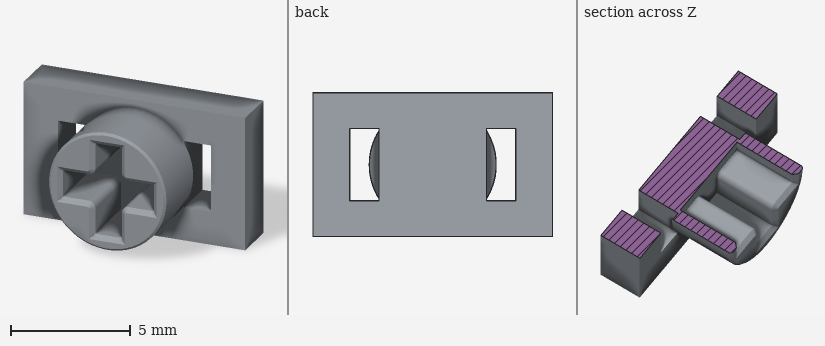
import cadquery as cq

plate_width = 10.0
plate_thickness = 2.0
plate_height = 6.0

boss_diameter = 5.3
boss_length = 3.0
boss_chamfer = 0.1

socket_span = 4.1
socket_arm_width = 1.2
socket_depth = boss_length
socket_inner_radius = 0.3
socket_lead_in = 0.2

window_inner_x = 2.25
window_outer_x = 3.45
window_height = 3.0


def make_plate():
    return cq.Workplane("XY").box(
        plate_width, plate_thickness, plate_height, centered=(True, False, True)
    )


def make_boss():
    boss = cq.Workplane("XZ").circle(boss_diameter / 2).extrude(boss_length)
    return boss.faces("<Y").chamfer(boss_chamfer)


def make_socket():
    """Cross-shaped cavity with rounded inner corners."""
    end_plane = cq.Workplane("XZ", origin=(0, -boss_length, 0))
    horizontal_arm = end_plane.rect(socket_span, socket_arm_width).extrude(-socket_depth)
    vertical_arm = end_plane.rect(socket_arm_width, socket_span).extrude(-socket_depth)
    cross = horizontal_arm.union(vertical_arm)

    reach = socket_arm_width
    inner_corners = cq.selectors.BoxSelector(
        (-reach, -2 * boss_length, -reach), (reach, boss_length, reach)
    )
    return cross.edges("|Y").edges(inner_corners).fillet(socket_inner_radius)


def add_lead_in(body):
    """Chamfer the mouth of the socket, which is the inner wire of the boss end face."""
    mouth_edges = body.faces("<Y").val().innerWires()[0].Edges()
    return body.newObject(mouth_edges).chamfer(socket_lead_in)


def make_window(side):
    width = window_outer_x - window_inner_x
    center_x = side * (window_inner_x + window_outer_x) / 2
    window = cq.Workplane("XY").box(
        width, plate_thickness, window_height, centered=(True, False, True)
    )
    return window.translate((center_x, 0, 0))


plate = make_plate()
for side in (-1, 1):
    plate = plate.cut(make_window(side))

result = add_lead_in(plate.union(make_boss()).cut(make_socket()))